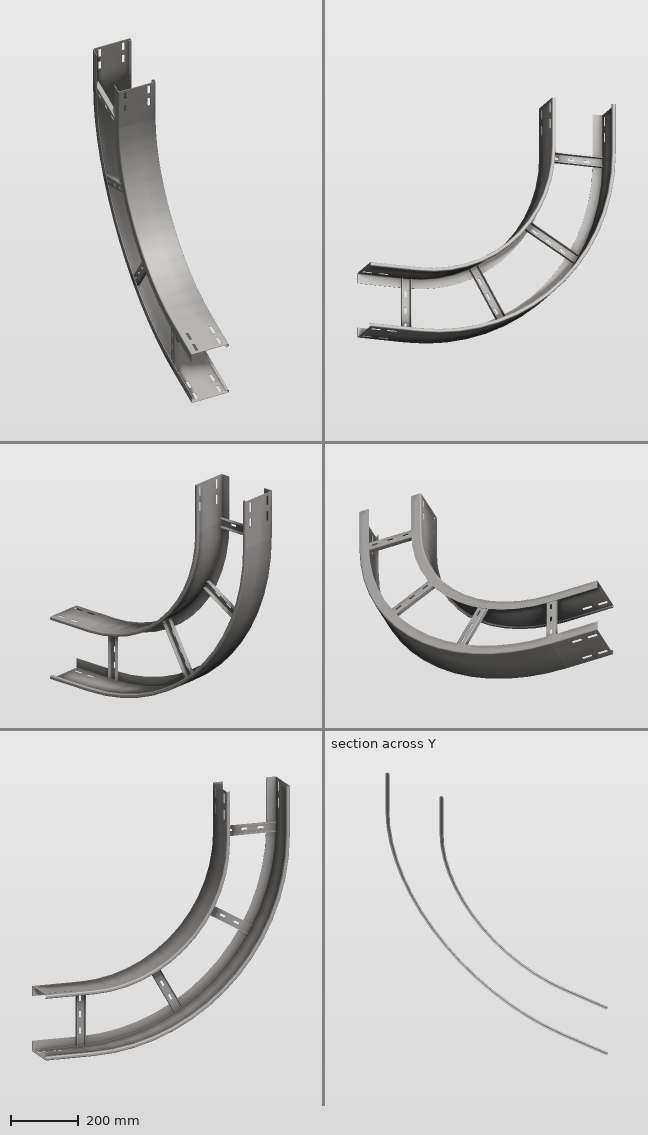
import cadquery as cq


overall_size = 770.0
leg_length = 150.0
ladder_width = 200.0
outer_rail_radius = overall_size - leg_length
inner_rail_radius = outer_rail_radius - ladder_width

rail_height = 120.0
sheet = 1.5
flange_width = 31.5
bend = 4.0
hook_width = 11.5
hook_lip = 9.0
front_y = -rail_height / 2

joint_slot_length = 30.0
joint_slot_width = 8.5
joint_slot_end_offset = 25.0
joint_slot_pitch = 50.0
joint_slots_per_row = 2
joint_slot_spread = 75.5

rung_count = 4
rung_step = 90.0 / (rung_count - 1)
rung_width = 29.0
rung_depth = 15.0
rung_bend = 2.0
rung_end_inset = 5.0
rung_slot_count = 3
rung_slot_pitch = 50.0
rung_slot_length = 19.0
rung_slot_width = 7.0
rung_front_y = front_y + sheet


def rail_section(radius, side):
    """Folded section on the plane Z = 0: front flange, web, and hooked back flange.

    Local x runs from the outside of the web along the flanges, towards +X for side = 1
    and towards -X for side = -1. Local y runs from the front face to the back.
    """
    plane = cq.Plane(origin=(-radius, front_y, 0), xDir=(side, 0, 0), normal=(0, 0, side))
    back = rail_height
    inside_bend = bend - sheet
    return (
        cq.Workplane(plane)
        .moveTo(flange_width, 0)
        .lineTo(bend, 0)
        .radiusArc((0, bend), bend)
        .lineTo(0, back - bend)
        .radiusArc((bend, back), bend)
        .lineTo(hook_width - bend, back)
        .radiusArc((hook_width, back - bend), bend)
        .lineTo(hook_width, back - hook_lip)
        .lineTo(hook_width - sheet, back - hook_lip)
        .lineTo(hook_width - sheet, back - bend)
        .radiusArc((hook_width - bend, back - sheet), -inside_bend)
        .lineTo(bend, back - sheet)
        .radiusArc((sheet, back - bend), -inside_bend)
        .lineTo(sheet, bend)
        .radiusArc((bend, sheet), -inside_bend)
        .lineTo(flange_width, sheet)
        .close()
    )


def joint_slots(radius, side):
    """Cutters for the two rows of joining slots through the web of the upright leg."""
    rows = [-joint_slot_spread / 2, joint_slot_spread / 2]
    first_z = leg_length - joint_slot_end_offset
    centres = [(y, first_z - i * joint_slot_pitch) for y in rows for i in range(joint_slots_per_row)]
    return (
        cq.Workplane("YZ", origin=(-radius, 0, 0))
        .pushPoints(centres)
        .rect(joint_slot_width, joint_slot_length)
        .extrude(2 * sheet, both=True)
    )


def make_rail(radius, side):
    """One side rail: an upright leg, a quarter bend and a level leg that mirrors the upright one."""
    upright_leg = rail_section(radius, side).extrude(side * leg_length)
    upright_leg = upright_leg.cut(joint_slots(radius, side))
    level_leg = upright_leg.mirror((1, 0, -1))
    axis_x = side * radius
    quarter_bend = rail_section(radius, side).revolve(
        90, (axis_x, 0), (axis_x, -1)
    )
    return quarter_bend.union(upright_leg, clean=False).union(level_leg, clean=False)


def make_rung(angle):
    """One channel rung, opening to the back, turned about the elbow axis from the upright leg end."""
    start_x = -outer_rail_radius + rung_end_inset
    end_x = -inner_rail_radius - rung_end_inset
    length = end_x - start_x
    middle_x = (start_x + end_x) / 2
    middle_y = rung_front_y + rung_depth / 2

    outside = (
        cq.Workplane("XY")
        .box(length, rung_depth, rung_width)
        .edges("|X and <Y")
        .fillet(rung_bend)
    )
    inside = (
        cq.Workplane("XY")
        .box(length, rung_depth, rung_width - 2 * sheet)
        .edges("|X and <Y")
        .fillet(rung_bend - sheet)
        .translate((0, sheet, 0))
    )
    channel = outside.cut(inside).translate((middle_x, middle_y, 0))
    slots = (
        cq.Workplane("XZ", origin=(middle_x, rung_front_y, 0))
        .rarray(rung_slot_pitch, 8, rung_slot_count, 1)
        .rect(rung_slot_length, rung_slot_width)
        .extrude(2 * sheet, both=True)
    )
    return channel.cut(slots).rotate((0, 0, 0), (0, 1, 0), -angle)


outer_rail = make_rail(outer_rail_radius, 1)
inner_rail = make_rail(inner_rail_radius, -1)
rungs = [make_rung(i * rung_step) for i in range(rung_count)]

result = cq.Compound.makeCompound(
    [outer_rail.val(), inner_rail.val(), *[rung.val() for rung in rungs]]
)